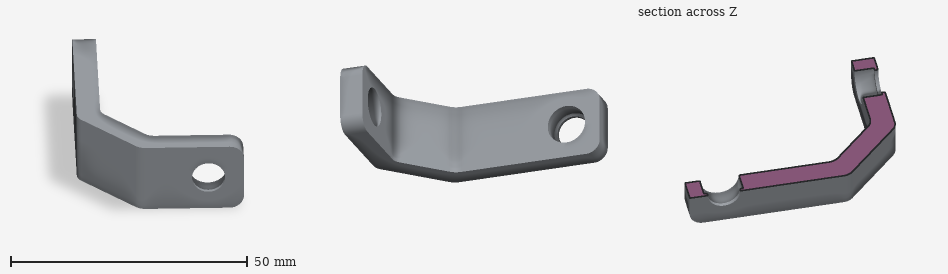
import cadquery as cq
import math

overall_length = 58.34
overall_depth = 27.98
height = 15.0
thickness = 5.0
leg_angle = 45.0
right_leg_length = 22.0
bend_radius = 3.0
corner_radius = 3.0
hole_from_tip = 7.5
lip_diameter = 7.0
lip_depth = 0.8
counterbore_diameter = 8.4

cos_leg = math.cos(math.radians(leg_angle))
sin_leg = math.sin(math.radians(leg_angle))
left_leg_length = (overall_depth - thickness * cos_leg) / sin_leg
base_length = overall_length - (left_leg_length + right_leg_length) * cos_leg
inner_setback = thickness * math.tan(math.radians(leg_angle / 2))

legs = [
    (-base_length / 2, -1, left_leg_length),
    (base_length / 2, 1, right_leg_length),
]


def leg_point(leg, along, inward):
    """XY point on a leg, measured from its outer bend corner."""
    corner_x, side, _ = leg
    x = corner_x + side * (along * cos_leg - inward * sin_leg)
    y = along * sin_leg + inward * cos_leg
    return x, y


def bent_strip():
    left, right = legs
    outline = [
        leg_point(left, left_leg_length, 0),
        leg_point(left, 0, 0),
        leg_point(right, 0, 0),
        leg_point(right, right_leg_length, 0),
        leg_point(right, right_leg_length, thickness),
        leg_point(right, inner_setback, thickness),
        leg_point(left, inner_setback, thickness),
        leg_point(left, left_leg_length, thickness),
    ]
    strip = cq.Workplane("XY").polyline(outline).close().extrude(height / 2, both=True)
    for leg in legs:
        outer_corner = (*leg_point(leg, 0, 0), 0)
        inner_corner = (*leg_point(leg, inner_setback, thickness), 0)
        strip = strip.edges(cq.NearestToPointSelector(outer_corner)).fillet(bend_radius)
        strip = strip.edges(cq.NearestToPointSelector(inner_corner)).fillet(bend_radius)
    return strip


def round_tip(strip, leg):
    for z in (-height / 2, height / 2):
        tip_corner = (*leg_point(leg, leg[2], thickness / 2), z)
        strip = strip.edges(cq.NearestToPointSelector(tip_corner)).fillet(corner_radius)
    return strip


def tip_hole(leg):
    """Cutter for the hole through a leg, wider behind the thin lip at the outer face."""
    _, side, length = leg
    center = leg_point(leg, length - hole_from_tip, 0)
    plane = cq.Plane(
        origin=(*center, 0),
        xDir=(side * cos_leg, sin_leg, 0),
        normal=(-side * sin_leg, cos_leg, 0),
    )
    lip_hole = cq.Workplane(plane).circle(lip_diameter / 2).extrude(thickness)
    counterbore = (
        cq.Workplane(plane)
        .workplane(offset=lip_depth)
        .circle(counterbore_diameter / 2)
        .extrude(thickness - lip_depth)
    )
    return lip_hole.union(counterbore)


result = bent_strip()
for leg in legs:
    result = round_tip(result, leg)
    result = result.cut(tip_hole(leg))